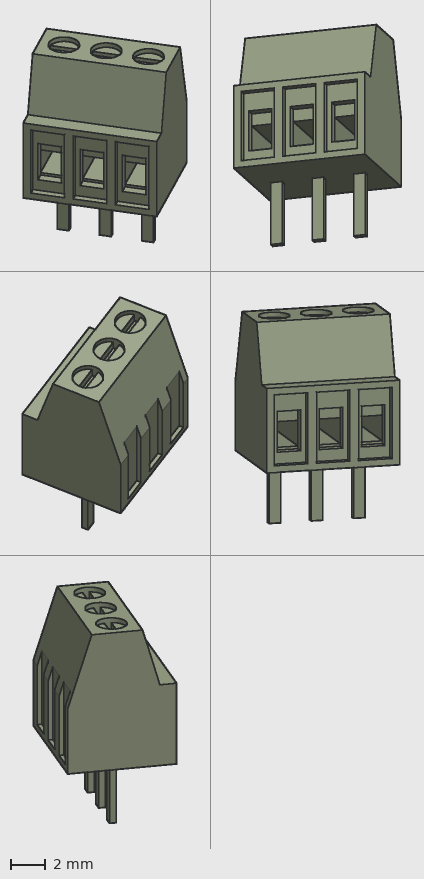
import cadquery as cq


way_count = 3
way_pitch = 2.54
way_positions = [(i - (way_count - 1) / 2) * way_pitch for i in range(way_count)]

overall_height = 12.25

housing_length = 8.02
housing_depth = 6.5
housing_height = 8.5
rear_y = 2.99
front_y = rear_y - housing_depth
ledge_height = 5.01
ledge_depth = 1.0
ledge_inner_y = front_y + ledge_depth
rear_wall_height = 4.05
top_rear_y = rear_y - 1.43
top_front_y = front_y + 2.03

recess_width = 2.01
recess_bottom = 0.4
recess_height = 4.2
recess_depth = 0.43
window_width = 1.41
window_bottom = 1.1
window_height = 2.41

pocket_width = 1.51
pocket_offset = -0.2
pocket_depth = 0.28
pocket_bottom = recess_bottom

bar_front_y = ledge_inner_y
bar_depth = 2 * abs(bar_front_y)
bar_length = (way_count - 1) * way_pitch + recess_width
bar_bottom = recess_bottom
bar_height = recess_height
wire_hole_bottom = 1.26
wire_hole_height = 1.52

screw_diameter = 1.8
screw_recess = 0.3
screw_top = housing_height - screw_recess
slot_width = 0.4
slot_depth = 0.49

pin_width = 0.7
pin_thickness = 0.4
pin_length = overall_height - housing_height


def box_from(x_center, y_min, z_min, x_size, y_size, z_size):
    """Box centred on x_center that grows toward +Y and +Z from y_min and z_min."""
    return (
        cq.Workplane("XY")
        .box(x_size, y_size, z_size, centered=(True, False, False))
        .translate((x_center, y_min, z_min))
    )


def screw_cylinder(x, z_min, z_max):
    """Cylinder of the screw diameter on the axis of one way."""
    return (
        cq.Workplane("XY", origin=(x, 0, z_min))
        .circle(screw_diameter / 2)
        .extrude(z_max - z_min)
    )


def make_contact():
    """Bar with a wire hole, a slotted screw and a pin for each way."""
    contact = box_from(0, bar_front_y, bar_bottom, bar_length, bar_depth, bar_height)
    bar_top = bar_bottom + bar_height
    for x in way_positions:
        wire_hole = box_from(
            x, bar_front_y, wire_hole_bottom, window_width, bar_depth, wire_hole_height
        )
        slot = box_from(
            x, -slot_width / 2, screw_top - slot_depth, screw_diameter, slot_width, slot_depth
        )
        screw = screw_cylinder(x, bar_top, screw_top).cut(slot)
        pin = box_from(
            x, -pin_thickness / 2, -pin_length, pin_width, pin_thickness, pin_length + bar_bottom
        )
        contact = contact.cut(wire_hole).union(screw).union(pin)
    return contact


def make_housing_block():
    """Side profile of the housing, extruded along X."""
    profile = [
        (front_y, 0),
        (rear_y, 0),
        (rear_y, rear_wall_height),
        (top_rear_y, housing_height),
        (top_front_y, housing_height),
        (ledge_inner_y, ledge_height),
        (front_y, ledge_height),
    ]
    return cq.Workplane("YZ").polyline(profile).close().extrude(housing_length / 2, both=True)


def cut_contact_cavity(housing):
    """Bar chamber, screw holes open at the top and pin holes open at the bottom."""
    housing = housing.cut(
        box_from(0, bar_front_y, bar_bottom, bar_length, bar_depth, bar_height)
    )
    for x in way_positions:
        housing = housing.cut(screw_cylinder(x, bar_bottom, housing_height))
        housing = housing.cut(
            box_from(x, -pin_thickness / 2, 0, pin_width, pin_thickness, bar_bottom)
        )
    return housing


def cut_wire_entries(housing):
    """Front recess of each way and the window that leads from it to the bar."""
    for x in way_positions:
        recess = box_from(x, front_y, recess_bottom, recess_width, recess_depth, recess_height)
        window = box_from(x, front_y, window_bottom, window_width, ledge_depth, window_height)
        housing = housing.cut(recess).cut(window)
    return housing


def cut_rear_pockets(housing):
    """Shallow rear pocket of each way, running up through the sloped rear face."""
    for x in way_positions:
        pocket = box_from(
            x + pocket_offset,
            rear_y - pocket_depth,
            pocket_bottom,
            pocket_width,
            pocket_depth,
            housing_height - pocket_bottom,
        )
        housing = housing.cut(pocket)
    return housing


def make_housing():
    """Plastic housing with all its openings."""
    housing = make_housing_block()
    housing = cut_contact_cavity(housing)
    housing = cut_wire_entries(housing)
    return cut_rear_pockets(housing)


housing = make_housing()
contact = make_contact()
result = cq.Compound.makeCompound([housing.solids().val(), contact.solids().val()])